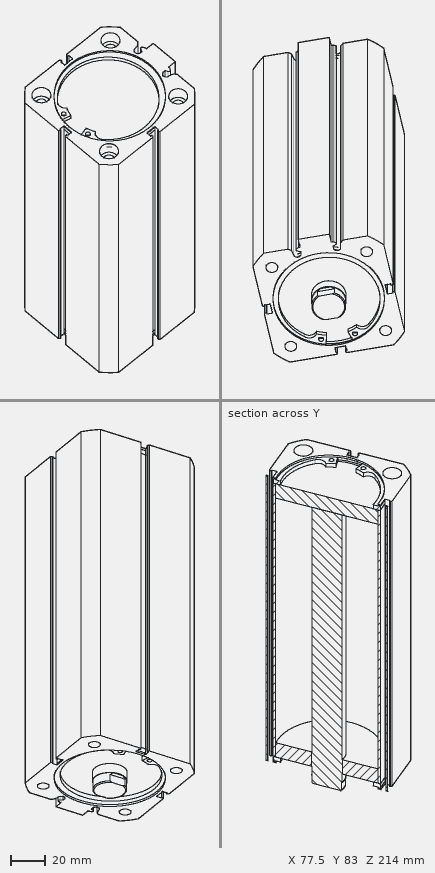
import cadquery as cq
import math

WIDTH = 77.5
HALF_WIDTH = WIDTH / 2
OVERALL_LENGTH = 214.0
ROD_PROJECTION = 8.1
HOUSING_LENGTH = OVERALL_LENGTH - ROD_PROJECTION
CORNER_RADIUS = 49.5

TAB_HEIGHT = 5.5
TAB_HALF_WIDTH = 9.2
GROOVE_X = 11.8
GROOVE_Y = 34.2
GROOVE_RADIUS = 2.1
GROOVE_WALL_X = 14.5
GROOVE_WALL_Y = 37.2
GROOVE_MOUTH_X = 16.3
BEAD_TIP_X = 12.0
BEAD_TIP_Y = 37.2
BEAD_ROUND_X = 11.3
BEAD_ROUND_RISE = 0.9
BEAD_NECK_Y = 35.5
BEAD_TOP_Y = 39.4

SLOT_DEPTH = 4.7
SLOT_HALF_WIDTH = 3.2
MOUTH_HALF_WIDTH = 3.0
LIP_HALF_WIDTH = 2.4
LIP_START = 0.6
LIP_END = 1.5

BOLT_PITCH = 56.0
BOLT_DIAMETER = 6.8
COUNTERBORE_DIAMETER = 11.0
COUNTERBORE_DEPTH = 8.5

BORE_RADIUS = 32.3
COVER_THICKNESS = 10.7
RING_RECESS = 1.3
RING_THICKNESS = 2.8
RING_OUTER_RADIUS = 33.8
RING_INNER_RADIUS = 29.5
RING_INNER_OFFSET = 1.3
LUG_RADIUS = 26.1
LUG_GAP_ANGLE = 14.0
LUG_SIDE_ANGLE = 27.0
LUG_ROOT_X = 15.0
LUG_ROOT_Y = -25.3
LUG_BLEND_X = 19.0
LUG_HOLE_ANGLE = 20.0
LUG_HOLE_RADIUS = 29.3
LUG_HOLE_DIAMETER = 2.8

ROD_DIAMETER = 20.1
ROD_COLLAR_LENGTH = 2.0
ROD_END_DIAMETER = 19.7
ROD_END_CHAMFER = 0.6
FLAT_DISTANCE = 17.0
FLAT_RAMP_HEIGHT = 1.3
FLAT_RAMP_DEPTH = 0.9

COVER_OUTER_FACE = RING_RECESS + RING_THICKNESS
COVER_INNER_FACE = COVER_OUTER_FACE + COVER_THICKNESS


def disc(radius, bottom, height):
    return cq.Workplane("XY", origin=(0, 0, bottom)).circle(radius).extrude(height)


def at_other_end(body):
    """Mirror image of a body about the mid-length plane of the housing."""
    return body.mirror("XY", (0, 0, HOUSING_LENGTH / 2))


def polar(radius, angle):
    """Point at the given angle from -Y, turning towards +X."""
    turn = math.radians(angle)
    return (radius * math.sin(turn), -radius * math.cos(turn))


def mirrored(point):
    return (-point[0], point[1])


def housing_block():
    square = cq.Workplane("XY").rect(WIDTH, WIDTH).extrude(HOUSING_LENGTH)
    return square.intersect(disc(CORNER_RADIUS, 0, HOUSING_LENGTH))


def tab():
    height = HALF_WIDTH + TAB_HEIGHT - GROOVE_Y
    return (
        cq.Workplane("XY")
        .center(0, GROOVE_Y + height / 2)
        .rect(2 * TAB_HALF_WIDTH, height)
        .extrude(HOUSING_LENGTH)
    )


def tab_groove():
    """Groove on the +X side of the tab, with the bead left standing on its inner wall."""
    return (
        cq.Workplane("XY")
        .moveTo(TAB_HALF_WIDTH, BEAD_TOP_Y)
        .lineTo(BEAD_ROUND_X, BEAD_TIP_Y + BEAD_ROUND_RISE)
        .threePointArc((BEAD_TIP_X, BEAD_TIP_Y), (BEAD_ROUND_X, BEAD_TIP_Y - BEAD_ROUND_RISE))
        .lineTo(GROOVE_X - GROOVE_RADIUS, BEAD_NECK_Y)
        .lineTo(GROOVE_X - GROOVE_RADIUS, GROOVE_Y)
        .threePointArc((GROOVE_X, GROOVE_Y - GROOVE_RADIUS), (GROOVE_X + GROOVE_RADIUS, GROOVE_Y))
        .lineTo(GROOVE_WALL_X, GROOVE_WALL_Y)
        .lineTo(GROOVE_MOUTH_X, HALF_WIDTH)
        .lineTo(GROOVE_MOUTH_X, BEAD_TOP_Y)
        .close()
        .extrude(HOUSING_LENGTH)
    )


def sensor_slot():
    """Slot in the -Y face, narrowed by a lip on either side of its mouth."""
    face = -HALF_WIDTH
    floor = face + SLOT_DEPTH
    half_outline = [
        (MOUTH_HALF_WIDTH, face),
        (LIP_HALF_WIDTH, face + LIP_START),
        (LIP_HALF_WIDTH, face + LIP_END),
        (SLOT_HALF_WIDTH, face + LIP_END),
        (SLOT_HALF_WIDTH, floor),
    ]
    outline = half_outline + [mirrored(point) for point in reversed(half_outline)]
    return cq.Workplane("XY").polyline(outline).close().extrude(HOUSING_LENGTH)


def make_housing():
    body = housing_block().union(tab())
    groove = tab_groove()
    body = body.cut(groove).cut(groove.mirror("YZ"))
    slot = sensor_slot()
    for angle in (-90, 0, 90):
        body = body.cut(slot.rotate((0, 0, 0), (0, 0, 1), angle))
    body = (
        body.faces(">Z")
        .workplane(origin=(0, 0, HOUSING_LENGTH))
        .rect(BOLT_PITCH, BOLT_PITCH, forConstruction=True)
        .vertices()
        .cboreHole(BOLT_DIAMETER, COUNTERBORE_DIAMETER, COUNTERBORE_DEPTH)
    )
    body = body.cut(disc(BORE_RADIUS, 0, HOUSING_LENGTH))
    ring_groove = disc(RING_OUTER_RADIUS, RING_RECESS, RING_THICKNESS)
    return body.cut(ring_groove).cut(at_other_end(ring_groove))


def make_cover():
    """Plain cover at the Z = 0 end."""
    return disc(BORE_RADIUS, COVER_OUTER_FACE, COVER_THICKNESS)


def make_head_cover():
    return at_other_end(make_cover())


def make_rod_cover():
    rod_hole = disc(ROD_DIAMETER / 2, COVER_OUTER_FACE, COVER_THICKNESS)
    return make_cover().cut(rod_hole)


def make_retaining_ring():
    """Ring at the Z = 0 end, open towards -Y."""
    gap_outer = polar(RING_OUTER_RADIUS, LUG_GAP_ANGLE)
    gap_inner = polar(LUG_RADIUS, LUG_GAP_ANGLE)
    lug_tip = polar(LUG_RADIUS, (LUG_GAP_ANGLE + LUG_SIDE_ANGLE) / 2)
    lug_side = polar(LUG_RADIUS, LUG_SIDE_ANGLE)
    lug_root = (LUG_ROOT_X, LUG_ROOT_Y)
    blend_drop = math.sqrt(RING_INNER_RADIUS**2 - LUG_BLEND_X**2)
    blend = (LUG_BLEND_X, -RING_INNER_OFFSET - blend_drop)
    inner_top = (0, RING_INNER_RADIUS - RING_INNER_OFFSET)
    hole = polar(LUG_HOLE_RADIUS, LUG_HOLE_ANGLE)
    ring = (
        cq.Workplane("XY", origin=(0, 0, RING_RECESS))
        .moveTo(*gap_outer)
        .threePointArc((0, RING_OUTER_RADIUS), mirrored(gap_outer))
        .lineTo(*mirrored(gap_inner))
        .threePointArc(mirrored(lug_tip), mirrored(lug_side))
        .threePointArc(mirrored(lug_root), mirrored(blend))
        .threePointArc(inner_top, blend)
        .threePointArc(lug_root, lug_side)
        .threePointArc(lug_tip, gap_inner)
        .close()
        .extrude(RING_THICKNESS)
    )
    lug_holes = (
        cq.Workplane("XY", origin=(0, 0, RING_RECESS))
        .pushPoints([hole, mirrored(hole)])
        .circle(LUG_HOLE_DIAMETER / 2)
        .extrude(RING_THICKNESS)
    )
    return ring.cut(lug_holes)


def make_rod():
    shank_length = HOUSING_LENGTH - COVER_INNER_FACE + ROD_COLLAR_LENGTH
    end_length = ROD_PROJECTION - ROD_COLLAR_LENGTH
    shank = disc(ROD_DIAMETER / 2, -ROD_COLLAR_LENGTH, shank_length)
    rod_end = disc(ROD_END_DIAMETER / 2, -ROD_PROJECTION, end_length)
    rod_end = rod_end.faces("<Z").chamfer(ROD_END_CHAMFER)
    flat_y = FLAT_DISTANCE / 2
    flat_cut = (
        cq.Workplane("YZ", origin=(-ROD_DIAMETER / 2, 0, 0))
        .moveTo(-flat_y, -ROD_PROJECTION)
        .lineTo(-flat_y, -ROD_COLLAR_LENGTH - FLAT_RAMP_HEIGHT)
        .lineTo(-flat_y - FLAT_RAMP_DEPTH, -ROD_COLLAR_LENGTH)
        .lineTo(-ROD_DIAMETER, -ROD_COLLAR_LENGTH)
        .lineTo(-ROD_DIAMETER, -ROD_PROJECTION)
        .close()
        .extrude(ROD_DIAMETER)
    )
    rod_end = rod_end.cut(flat_cut).cut(flat_cut.mirror("XZ"))
    return shank.union(rod_end)


housing = make_housing()
head_cover = make_head_cover()
rod_cover = make_rod_cover()
rod = make_rod()

near_ring = make_retaining_ring()
retaining_rings = [ring.val() for ring in (near_ring, at_other_end(near_ring))]

result = cq.Compound.makeCompound(
    [housing.val(), head_cover.val(), rod_cover.val(), *retaining_rings, rod.val()]
)